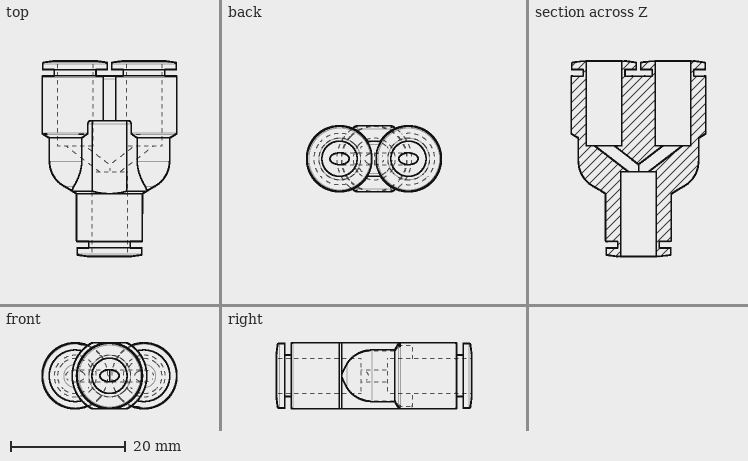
import cadquery as cq
import math


port_pitch = 12.0
half_length = 17.05
branch_x = port_pitch / 2

sleeve_radius = 5.75
sleeve_end_y = 14.45
sleeve_end_fillet = 0.3
button_radius = 5.65
button_inner_y = 15.53
button_edge_fillet = 0.3
button_cone_y = 16.77
button_lip_radius = 3.62
neck_radius = 3.65

cone_angle = math.radians(30)
shoulder_y = 4.57
shoulder_radius = 0.4
shank_radius = 4.5
dome_start_y = -0.42
dome_tip_radius = 2.0

hull_radius = 6.5
hull_top_y = 6.63
hull_end_fillet = 0.55
hull_cone_y = -5.65

web_half_thickness = 3.03
web_end_fillet = 0.5

bore_radius = 3.07
bore_floor_y = 2.3
passage_radius = 1.02


def revolve_about_port_axis(profile):
    """Revolve an XY half profile about the Y axis."""
    return profile.close().revolve(360, (0, 0, 0), (0, 1, 0))


def axial_cylinder(radius, start_y, end_y):
    """Cylinder on the Y axis between two Y positions."""
    return cq.Workplane("XZ", origin=(0, start_y, 0)).circle(radius).extrude(start_y - end_y)


def port_sleeve(bottom_y):
    """Cylindrical sleeve from bottom_y up to its filleted end."""
    sleeve = axial_cylinder(sleeve_radius, bottom_y, sleeve_end_y)
    return sleeve.faces(">Y").edges().fillet(sleeve_end_fillet)


def release_button():
    """Narrow neck carrying a flange with a slightly conical face."""
    neck = axial_cylinder(neck_radius, bore_floor_y, button_inner_y)
    flange = revolve_about_port_axis(
        cq.Workplane("XY")
        .moveTo(0, button_inner_y)
        .lineTo(button_radius, button_inner_y)
        .lineTo(button_radius, button_cone_y)
        .lineTo(button_lip_radius, half_length)
        .lineTo(0, half_length)
    )
    rim_edges = flange.edges(cq.selectors.RadiusNthSelector(-1))
    return neck.union(rim_edges.edges(">Y").fillet(button_edge_fillet))


def branch_shank():
    """Shoulder, slim shank and pointed dome on the axis of a +Y port."""
    sin_slope = math.sin(cone_angle)
    cos_slope = math.cos(cone_angle)
    tan_slope = math.tan(cone_angle)
    middle_angle = (math.pi / 2 - cone_angle) / 2

    shoulder_center_x = sleeve_radius - shoulder_radius
    shoulder_end_x = shoulder_center_x + shoulder_radius * sin_slope
    shoulder_end_y = shoulder_y - shoulder_radius * cos_slope
    shank_top_y = shoulder_end_y - (shoulder_end_x - shank_radius) * tan_slope

    dome_radius = (shank_radius - dome_tip_radius) / (1 - sin_slope)
    dome_center_x = shank_radius - dome_radius
    dome_end_y = dome_start_y - dome_radius * cos_slope
    apex_y = dome_end_y - dome_tip_radius * tan_slope

    def arc_middle(center_x, center_y, radius):
        return (
            center_x + radius * math.cos(middle_angle),
            center_y - radius * math.sin(middle_angle),
        )

    return revolve_about_port_axis(
        cq.Workplane("XY")
        .moveTo(0, shoulder_y)
        .lineTo(sleeve_radius, shoulder_y)
        .threePointArc(
            arc_middle(shoulder_center_x, shoulder_y, shoulder_radius),
            (shoulder_end_x, shoulder_end_y),
        )
        .lineTo(shank_radius, shank_top_y)
        .lineTo(shank_radius, dome_start_y)
        .threePointArc(
            arc_middle(dome_center_x, dome_start_y, dome_radius),
            (dome_tip_radius, dome_end_y),
        )
        .lineTo(0, apex_y)
    )


def central_hull():
    """Round hull with flats level with the sleeves and a cone down to the -Y sleeve."""
    cone_end_y = hull_cone_y - (hull_radius - sleeve_radius) * math.tan(cone_angle)
    hull = revolve_about_port_axis(
        cq.Workplane("XY")
        .moveTo(0, cone_end_y)
        .lineTo(sleeve_radius, cone_end_y)
        .lineTo(hull_radius, hull_cone_y)
        .lineTo(hull_radius, hull_top_y)
        .lineTo(0, hull_top_y)
    )
    flats = cq.Workplane("XY").box(2 * hull_radius, 2 * half_length, 2 * sleeve_radius)
    return hull.intersect(flats).faces(">Y").edges().fillet(hull_end_fillet)


def web():
    """Flat plate filling the gap between the two +Y sleeves."""
    plate = cq.Workplane("XY").box(
        port_pitch, sleeve_end_y, 2 * web_half_thickness, centered=(True, False, True)
    )
    return plate.faces(">Y").edges("|X").fillet(web_end_fillet)


def tube_bore():
    """Blind tube bore of one port."""
    return axial_cylinder(bore_radius, bore_floor_y, half_length)


def passage(side):
    """Inclined passage from the -Y bore floor to the bore floor on the given side."""
    direction = cq.Vector(side * branch_x, 2 * bore_floor_y, 0)
    overrun = passage_radius * branch_x / (2 * bore_floor_y)
    start = cq.Vector(0, -bore_floor_y, 0) - direction.normalized() * overrun
    length = direction.Length + 2 * overrun
    return cq.Workplane(cq.Solid.makeCylinder(passage_radius, length, start, direction))


def at_branch(shape, side):
    """Move a port shape to the +Y port axis on the given side."""
    return shape.translate((side * branch_x, 0, 0))


def at_inlet(shape):
    """Turn a port shape to face -Y."""
    return shape.rotate((0, 0, 0), (0, 0, 1), 180)


sides = (-1, 1)
branch = port_sleeve(shoulder_y).union(branch_shank()).union(release_button())
inlet = port_sleeve(0).union(release_button())

result = central_hull().union(at_inlet(inlet)).union(web())
for side in sides:
    result = result.union(at_branch(branch, side))

result = result.cut(at_inlet(tube_bore()))
for side in sides:
    result = result.cut(at_branch(tube_bore(), side))
    result = result.cut(passage(side))

result = cq.Workplane(result.solids().val())